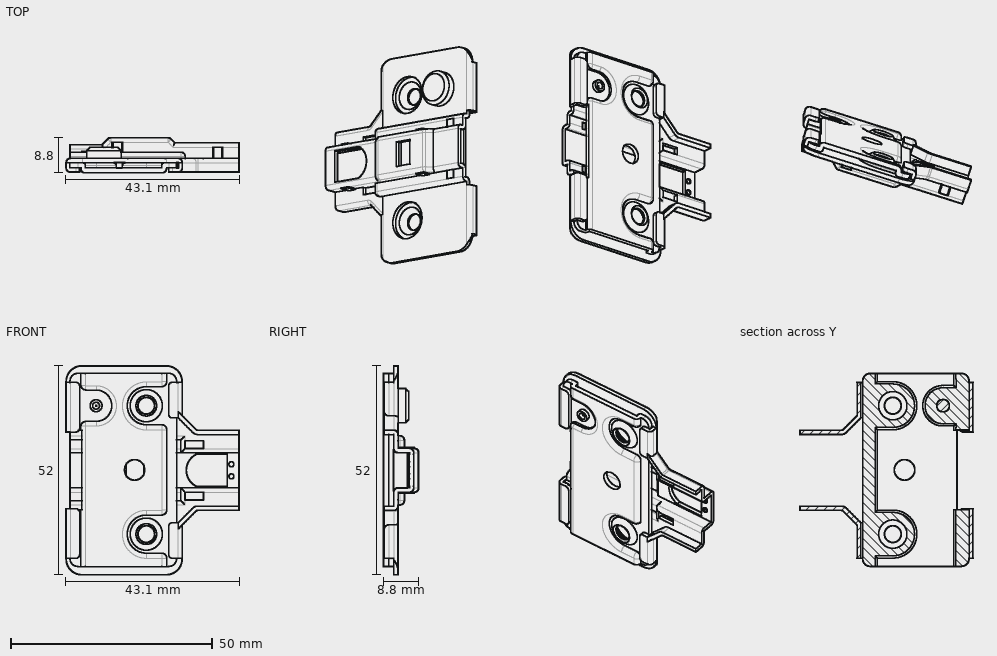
import cadquery as cq
import math


BASE_SHEET = 1.1
PLATE_LENGTH = 52.0
PLATE_HALF_WIDTH = 14.45
PLATE_CORNER_RADIUS = 4.0
PLATE_BACK = BASE_SHEET
EDGE_WALL = 1.0
PLATE_INNER_HALF_WIDTH = PLATE_HALF_WIDTH - EDGE_WALL

LIP_FRONT = -2.35
LIP_BACK = LIP_FRONT + BASE_SHEET
LIP_EDGE_X = 11.1
LIP_CORNER_RADIUS = 0.95
LIP_OUTER_Z = 21.9
LEFT_LIP_INNER_Z = 9.5

TONGUE_END_X = 28.6
TONGUE_HALF_WIDTH = 10.0
TONGUE_NECK_X = 18.05
TONGUE_BEND_RADIUS = 0.7
TONGUE_ROOT_X = PLATE_INNER_HALF_WIDTH
TONGUE_ROOT_Z = TONGUE_HALF_WIDTH + TONGUE_NECK_X - TONGUE_ROOT_X
RIGHT_LIP_INNER_Z = TONGUE_ROOT_Z - BASE_SHEET * math.sqrt(2)

STEP_RISE = 1.55
STEP_HALF_WIDTH = 8.65
STEP_CORNER_RADIUS = 1.15
STEP_END_X = 15.2
FRONT_BEND_RADIUS = 1.05

CHANNEL_HALF_WIDTH = 5.45
CHANNEL_INNER_HALF_WIDTH = CHANNEL_HALF_WIDTH - BASE_SHEET
CHANNEL_LEFT_BACK = 4.5
CHANNEL_TOP = 6.25
CHANNEL_RIGHT_BACK = 5.0
CROWN_START_X = -3.8
CROWN_END_X = 11.35

SLOT_END_X = 19.7
SLOT_OUTER_Z = 7.35
WINDOW_START_X = 15.5
WINDOW_END_X = 25.6
WINDOW_HALF_WIDTH = 4.0
WINDOW_ARC_END_X = 18.05
DIMPLE_X = 26.7
DIMPLE_SPACING = 3.0
DIMPLE_DIAMETER = 1.25
DIMPLE_DEPTH = 0.25
CROWN_OPENING_START_X = 0.55
CROWN_OPENING_END_X = 4.95
CROWN_OPENING_HEIGHT = 6.25
BASE_HOLE_DIAMETER = 9.35

PAD_RISE = 0.25
CROWN_PAD_X = (-3.0, -0.35)
CROWN_PAD_Y = (2.75, 5.15)
TONGUE_PAD_X = (22.05, 24.55)
TONGUE_PAD_Y = (PLATE_BACK, 3.9)
STEP_PAD_X = (-10.5, -8.5)
STEP_PAD_RISE = 0.15

MARK_X = (-9.35, -8.5)
MARK_Z = (4.65, 6.7)
MARK_DEPTH = 0.1

COVER_SHEET = 1.25
COVER_FRONT = -2.55
FLANGE_FRONT = LIP_BACK
COVER_CENTRE_Z = 0.1
COVER_LENGTH = 48.05
COVER_LEFT_X = -PLATE_INNER_HALF_WIDTH
COVER_RIGHT_X = 13.05
COVER_CORNER_RADIUS = 2.0
PLATEAU_LEFT_X = -10.75
PLATEAU_RIGHT_X = 10.6
PLATEAU_LEFT_WALL = 1.15
PLATEAU_RIGHT_WALL = COVER_SHEET
PLATEAU_EDGE_RADIUS = COVER_SHEET
PLATEAU_LEFT_OVERHANG = 0.15
PLATEAU_CORNER_RADIUS = 1.3
PLATEAU_BACK_RADIUS = 0.7
NOTCH_EDGE_X = -10.5
NOTCH_LENGTH = 19.8
COVER_HOLE_X = 2.6
COVER_HOLE_DIAMETER = 5.05

POCKET_Z = 15.95
PIN_X = -6.95
PIN_POCKET_RADIUS = 3.9
BOSS_X = 5.5
BOSS_POCKET_RADIUS = 4.75
BOSS_BASE_DIAMETER = 8.0
BOSS_RIM_DIAMETER = 5.15
SCREW_HOLE_DIAMETER = 4.1
SCREW_CHAMFER = (BOSS_RIM_DIAMETER - SCREW_HOLE_DIAMETER) / 2
BOSS_SHEET = 1.05

PIN_DIAMETER = 2.95
PIN_FRONT = -2.25
PIN_SOCKET_DIAMETER = 1.7
PIN_SOCKET_DEPTH = 0.5
PIN_SOCKET_TIP = 0.25
BUTTON_X = -5.05
BUTTON_DIAMETER = 8.6
BUTTON_BACK = 3.8
BUTTON_CHAMFER = 0.85


def front_plane(y):
    """Workplane facing -Y at depth y, with X to the right and Z up."""
    return cq.Workplane("XZ", origin=(0, y, 0))


def block(x, y, z):
    """Box between the (low, high) limits along each axis."""
    size = [high - low for low, high in (x, y, z)]
    return cq.Workplane("XY").box(*size, centered=False).translate((x[0], y[0], z[0]))


def cylinder(x, z, diameter, y_front, y_back):
    return front_plane(y_back).center(x, z).circle(diameter / 2).extrude(y_back - y_front)


def cone(x, z, front_diameter, back_diameter, y_front, y_back):
    """Cone frustum along Y, given by its diameters at the front and back."""
    outline = [
        (0, y_front),
        (front_diameter / 2, y_front),
        (back_diameter / 2, y_back),
        (0, y_back),
    ]
    turned = cq.Workplane("XY").polyline(outline).close().revolve(360, (0, 0), (0, 1))
    return turned.translate((x, 0, z))


def both_sides(body):
    """The body together with its mirror image across Z = 0."""
    return body.union(body.mirror("XY"))


def folded_plate():
    """Plate whose long edges fold forward and inward into lips."""
    half = PLATE_LENGTH / 2
    sheet = block((-PLATE_HALF_WIDTH, PLATE_HALF_WIDTH), (LIP_FRONT, PLATE_BACK), (-half, half))
    sheet = sheet.edges("|Z").fillet(BASE_SHEET)
    inner = (-PLATE_INNER_HALF_WIDTH, PLATE_INNER_HALF_WIDTH)
    sheet = sheet.cut(block(inner, (LIP_BACK, 0), (-half, half)))
    outline = front_plane(PLATE_BACK).rect(2 * PLATE_HALF_WIDTH, PLATE_LENGTH)
    rounded = outline.extrude(PLATE_BACK - LIP_FRONT).edges("|Y").fillet(PLATE_CORNER_RADIUS)
    lips = lip_area(-1, LEFT_LIP_INNER_Z).union(lip_area(1, RIGHT_LIP_INNER_Z))
    plate = block((-PLATE_HALF_WIDTH, PLATE_HALF_WIDTH), (0, PLATE_BACK), (-half, half))
    return sheet.intersect(rounded).intersect(plate.union(lips))


def lip_area(side, inner_z):
    """Space that the folded lips of one long edge (side -1 or 1) may fill."""
    x = sorted((side * LIP_EDGE_X, side * PLATE_HALF_WIDTH))
    area = block(x, (LIP_FRONT, 0), (inner_z, LIP_OUTER_Z))
    inward = "<X" if side > 0 else ">X"
    return both_sides(area.faces(inward).edges("|Y").fillet(LIP_CORNER_RADIUS))


def tongue_outline(inset):
    """Points of the flared tongue outline, moved inward by inset."""
    shift = inset * math.tan(math.radians(22.5))
    upper = [
        (TONGUE_ROOT_X, TONGUE_ROOT_Z - inset * math.sqrt(2)),
        (TONGUE_NECK_X - shift, TONGUE_HALF_WIDTH - inset),
        (TONGUE_END_X, TONGUE_HALF_WIDTH - inset),
    ]
    lower = [(x, -z) for x, z in reversed(upper)]
    return upper + lower


def tongue_prism(inset, y_front, y_back):
    """Tongue outline between two depths, with its necks rounded."""
    prism = front_plane(y_back).polyline(tongue_outline(inset)).close().extrude(y_back - y_front)
    neck_x = TONGUE_NECK_X - inset * math.tan(math.radians(22.5))
    necks = prism.edges("|Y").edges(cq.selectors.BoxSelector(
        (neck_x - 0.5, y_front - 0.5, -PLATE_LENGTH), (neck_x + 0.5, y_back + 0.5, PLATE_LENGTH)))
    return necks.fillet(TONGUE_BEND_RADIUS + inset)


def tongue():
    """Tongue block with the back edges of its flared sides rounded."""
    prism = tongue_prism(0, LIP_FRONT, PLATE_BACK)
    folds = cq.selectors.BoxSelector(
        (TONGUE_ROOT_X + 0.25, PLATE_BACK - 0.05, -TONGUE_ROOT_Z),
        (TONGUE_END_X - 0.25, PLATE_BACK + 0.05, TONGUE_ROOT_Z))
    return prism.edges(folds).fillet(BASE_SHEET)


def step_body():
    """Raised step with rounded back edges."""
    step = block((-PLATE_INNER_HALF_WIDTH, STEP_END_X), (0, STEP_RISE + BASE_SHEET),
                 (-STEP_HALF_WIDTH, STEP_HALF_WIDTH))
    step = step.edges("|Y and >X").fillet(STEP_CORNER_RADIUS)
    return step.faces(">Y").edges("not <X").fillet(BASE_SHEET)


def channel_profile(inset):
    """Side outline of the channel in X and Y, moved inward by inset on the back."""
    shift = inset * math.tan(math.radians(22.5))
    left = CHANNEL_LEFT_BACK - inset
    top = CHANNEL_TOP - inset
    right = CHANNEL_RIGHT_BACK - inset
    return [
        (-PLATE_INNER_HALF_WIDTH, 0),
        (-PLATE_INNER_HALF_WIDTH, left),
        (CROWN_START_X + shift - (top - left), left),
        (CROWN_START_X + shift, top),
        (CROWN_END_X - shift, top),
        (CROWN_END_X - shift + (top - right), right),
        (TONGUE_END_X, right),
        (TONGUE_END_X, 0),
    ]


def channel_prism(inset):
    width = 2 * (CHANNEL_HALF_WIDTH - inset)
    profile = cq.Workplane("XY").polyline(channel_profile(inset)).close()
    return profile.extrude(width / 2, both=True)


def channel_body():
    """Channel outside with the crown ends and the long back edges rounded."""
    body = channel_prism(0)
    body = body.faces(">Y").edges("|Z").fillet(BASE_SHEET)
    back_edges = body.faces(">Z or <Z").edges(cq.selectors.BoxSelector(
        (-PLATE_INNER_HALF_WIDTH + 0.05, CHANNEL_LEFT_BACK - 0.5, -PLATE_LENGTH),
        (TONGUE_END_X - 0.05, CHANNEL_TOP + 0.5, PLATE_LENGTH)))
    return back_edges.fillet(BASE_SHEET)


def step_hollow():
    """Space in front of the step."""
    return block((-PLATE_HALF_WIDTH, STEP_END_X - BASE_SHEET), (0, STEP_RISE),
                 (-STEP_HALF_WIDTH + BASE_SHEET, STEP_HALF_WIDTH - BASE_SHEET))


def round_bends(base):
    """Round the front edges where the sheet bends back into step and channel."""
    step_z = STEP_HALF_WIDTH - BASE_SHEET
    step_x = STEP_END_X - BASE_SHEET
    channel_z = CHANNEL_INNER_HALF_WIDTH

    def is_bend(edge):
        c = edge.Center()
        box = edge.BoundingBox()
        along_x = box.xlen > 2.6 and box.zlen < 0.005 and box.ylen < 0.01
        if along_x and abs(c.y) < 0.005:
            return abs(abs(c.z) - step_z) < 0.005 or abs(abs(c.z) - channel_z) < 0.005
        if along_x and abs(c.y - STEP_RISE) < 0.005:
            return abs(abs(c.z) - channel_z) < 0.005
        return abs(c.x - step_x) < 0.005 and box.xlen < 0.005 and abs(c.y) < 0.005

    return base.newObject([e for e in base.edges().vals() if is_bend(e)]).fillet(FRONT_BEND_RADIUS)


def tongue_window():
    """Opening in the channel with a round end toward the plate."""
    half = WINDOW_HALF_WIDTH
    outline = (
        front_plane(CHANNEL_TOP + 0.5)
        .moveTo(WINDOW_ARC_END_X, half)
        .threePointArc((WINDOW_START_X, 0), (WINDOW_ARC_END_X, -half))
        .lineTo(WINDOW_END_X, -half)
        .lineTo(WINDOW_END_X, half)
        .close()
    )
    return outline.extrude(CHANNEL_TOP + 0.5)


def channel_pads():
    """Flat pads on the outer side walls of the channel."""
    z = (CHANNEL_HALF_WIDTH - PAD_RISE, CHANNEL_HALF_WIDTH + PAD_RISE)
    pads = block(CROWN_PAD_X, CROWN_PAD_Y, z).union(block(TONGUE_PAD_X, TONGUE_PAD_Y, z))
    pads = pads.faces(">Z").edges("|Y").chamfer(PAD_RISE)
    return both_sides(pads)


def step_pads():
    """Low pads on the back of the step, beside the channel."""
    back = STEP_RISE + BASE_SHEET
    pad = block(STEP_PAD_X, (back - STEP_PAD_RISE, back + STEP_PAD_RISE),
                (CHANNEL_HALF_WIDTH, STEP_HALF_WIDTH - BASE_SHEET))
    return both_sides(pad)


def make_base():
    base = folded_plate().union(tongue())
    base = base.cut(tongue_prism(BASE_SHEET, LIP_FRONT, 0))
    beside_left_lips = block((-PLATE_HALF_WIDTH, -PLATE_INNER_HALF_WIDTH), (0, PLATE_BACK),
                             (-LEFT_LIP_INNER_Z, LEFT_LIP_INNER_Z))
    base = base.cut(beside_left_lips)
    base = base.union(step_body()).union(channel_body())
    base = base.cut(step_hollow()).cut(channel_prism(BASE_SHEET))
    base = round_bends(base)
    base = base.union(channel_pads()).union(step_pads())
    mark = block(MARK_X, (STEP_RISE, STEP_RISE + MARK_DEPTH), MARK_Z)
    base = base.cut(both_sides(mark))
    slot = block((STEP_END_X, SLOT_END_X), (0, PLATE_BACK), (CHANNEL_HALF_WIDTH, SLOT_OUTER_Z))
    base = base.cut(both_sides(slot)).cut(tongue_window())
    half_opening = CROWN_OPENING_HEIGHT / 2
    base = base.cut(block((CROWN_OPENING_START_X, CROWN_OPENING_END_X), (0, CHANNEL_TOP),
                          (-half_opening, half_opening)))
    crown_front = CHANNEL_RIGHT_BACK - BASE_SHEET
    for side in (-1, 1):
        base = base.cut(cylinder(DIMPLE_X, side * DIMPLE_SPACING / 2, DIMPLE_DIAMETER,
                                 crown_front, crown_front + DIMPLE_DEPTH))
        hole_z = COVER_CENTRE_Z + side * POCKET_Z
        base = base.cut(cylinder(BOSS_X, hole_z, BASE_HOLE_DIAMETER, 0, PLATE_BACK))
    return base.cut(cylinder(PIN_X, COVER_CENTRE_Z + POCKET_Z, PIN_DIAMETER, 0, PLATE_BACK))


def pocket(x, z, radius, open_x, y_front, y_back):
    """U-shaped pocket around (x, z) that opens toward open_x."""
    round_end = cylinder(x, z, 2 * radius, y_front, y_back)
    mouth = block(sorted((x, open_x)), (y_front, y_back), (z - radius, z + radius))
    return round_end.union(mouth)


def plateau(left_inset, right_inset, y_front, y_back):
    """Raised middle of the cover around the pockets.

    The walls of the left edge and the pin pocket move in by left_inset,
    those of the right edge and the boss pockets by right_inset.
    """
    half = COVER_LENGTH / 2
    depth = (y_front, y_back)
    left_x = PLATEAU_LEFT_X + left_inset
    right_x = PLATEAU_RIGHT_X - right_inset
    body = block((left_x, right_x), depth, (-half, half))
    body = body.cut(pocket(PIN_X, POCKET_Z, PIN_POCKET_RADIUS + left_inset, left_x, *depth))
    for side in (-1, 1):
        radius = BOSS_POCKET_RADIUS + right_inset
        body = body.cut(pocket(BOSS_X, side * POCKET_Z, radius, right_x, *depth))
    return body


def rounded_plateau(overhang):
    """Full-depth plateau with round upright corners at the pocket mouths.

    The overhang moves its left walls outward.
    """
    half = COVER_LENGTH / 2
    body = plateau(-overhang, 0, COVER_FRONT, 0)
    long_sides = body.faces("<X or >X").edges("|Y").vals()
    mouths = [edge for edge in long_sides if abs(edge.Center().z) < half - 0.5]
    return body.newObject(mouths).fillet(PLATEAU_CORNER_RADIUS)


def raised_plateau():
    """Plateau with rounded front edges; on the left the walls cut into the rounding."""
    bent = rounded_plateau(PLATEAU_LEFT_OVERHANG)
    bent = side_edges(bent, "<Y").fillet(PLATEAU_EDGE_RADIUS)
    return bent.intersect(rounded_plateau(0))


def side_edges(body, face):
    """Edges of the given face, apart from the straight ends of the cover."""
    half = COVER_LENGTH / 2
    edges = body.faces(face).edges().vals()
    return body.newObject([e for e in edges if abs(abs(e.Center().z) - half) > 0.005])


def round_back(cover):
    """Round the back edges where the sheet bends into the plateau."""
    edges = side_edges(cover, ">Y").vals()
    inner = [e for e in edges if PLATEAU_LEFT_X < e.Center().x < PLATEAU_RIGHT_X]
    return cover.newObject(inner).fillet(PLATEAU_BACK_RADIUS)


def notch():
    """Gap in the left flange that opens into the hollow behind the plateau."""
    z = (-NOTCH_LENGTH / 2, NOTCH_LENGTH / 2)
    front = block((COVER_LEFT_X, NOTCH_EDGE_X), (COVER_FRONT, 0), z)
    back = block((COVER_LEFT_X, PLATEAU_LEFT_X + PLATEAU_LEFT_WALL), (COVER_FRONT + COVER_SHEET, 0), z)
    return front.union(back)


def cover_flange():
    half = COVER_LENGTH / 2
    flange = block((COVER_LEFT_X, COVER_RIGHT_X), (FLANGE_FRONT, 0), (-half, half))
    return flange.edges("|Y").fillet(COVER_CORNER_RADIUS)


def boss(z):
    return cone(BOSS_X, z, BOSS_RIM_DIAMETER, BOSS_BASE_DIAMETER, COVER_FRONT, FLANGE_FRONT)


def boss_hole(z):
    """Screw hole with a chamfered rim, opening into the hollow back of the boss."""
    chamfer_end = COVER_FRONT + SCREW_CHAMFER
    hollow_start = COVER_FRONT + BOSS_SHEET
    hollow_diameter = SCREW_HOLE_DIAMETER + BOSS_BASE_DIAMETER - BOSS_RIM_DIAMETER
    rim = cone(BOSS_X, z, BOSS_RIM_DIAMETER, SCREW_HOLE_DIAMETER, COVER_FRONT, chamfer_end)
    hole = cylinder(BOSS_X, z, SCREW_HOLE_DIAMETER, COVER_FRONT, 0)
    hollow = cone(BOSS_X, z, SCREW_HOLE_DIAMETER, hollow_diameter, hollow_start, 0)
    return rim.union(hole).union(hollow)


def make_cover():
    cover = cover_flange().union(raised_plateau())
    hollow = plateau(PLATEAU_LEFT_WALL, PLATEAU_RIGHT_WALL, COVER_FRONT + COVER_SHEET, 0)
    cover = cover.cut(hollow)
    cover = round_back(cover)
    for side in (-1, 1):
        cover = cover.union(boss(side * POCKET_Z)).cut(boss_hole(side * POCKET_Z))
    cover = cover.cut(notch())
    cover = cover.cut(cylinder(COVER_HOLE_X, 0, COVER_HOLE_DIAMETER, COVER_FRONT, 0))
    cover = cover.cut(cylinder(PIN_X, POCKET_Z, PIN_DIAMETER, FLANGE_FRONT, 0))
    return cover.translate((0, 0, COVER_CENTRE_Z))


def make_pin():
    """Pin through cover and base, with the button on the back of the base."""
    z = COVER_CENTRE_Z + POCKET_Z
    shank = cylinder(PIN_X, z, PIN_DIAMETER, PIN_FRONT, PLATE_BACK)
    button = cylinder(BUTTON_X, z, BUTTON_DIAMETER, PLATE_BACK, BUTTON_BACK)
    button = button.faces(">Y").edges().chamfer(BUTTON_CHAMFER)
    socket_end = PIN_FRONT + PIN_SOCKET_DEPTH
    socket = cone(PIN_X, z, PIN_SOCKET_DIAMETER, PIN_SOCKET_TIP, PIN_FRONT, socket_end)
    return shank.union(button).cut(socket)


base = make_base()
cover = make_cover()
pin = make_pin()

result = cq.Compound.makeCompound([base.val(), cover.val(), pin.val()])